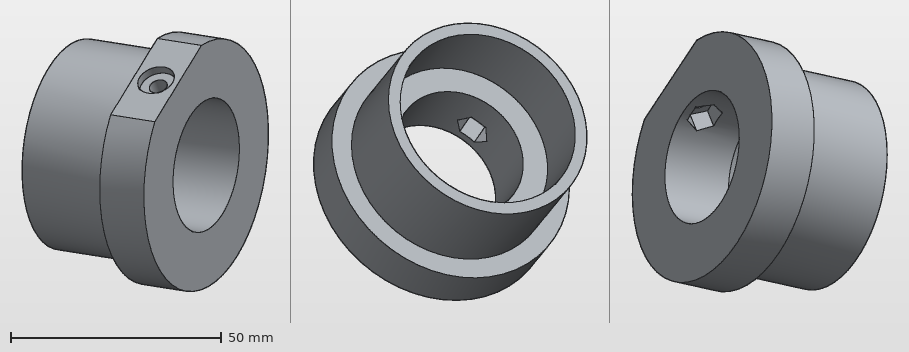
import cadquery as cq
import math

flange_diameter = 60.75
flange_width = 12.0
sleeve_diameter = 50.8
sleeve_length = 24.0
total_length = sleeve_length + flange_width

socket_diameter = 44.8
socket_depth = 18.0
bore_diameter = 32.3

flat_distance = 27.4
flat_tilt = 30.0
screw_diameter = 4.4
head_diameter = 9.0
head_depth = 2.1

nut_across_flats = 7.5
nut_seat_distance = 21.4

screw_x = sleeve_length + flange_width / 2


def cylinder_along_x(diameter, start, length):
    return cq.Workplane("YZ").workplane(offset=start).circle(diameter / 2).extrude(length)


def tilt(shape):
    """Turn a shape built about +Z to face the flat's direction."""
    return shape.rotate((0, 0, 0), (1, 0, 0), flat_tilt)


def screw_plane(height):
    """Upright sketch plane on the screw axis, at mid-width of the flange."""
    return cq.Workplane("XY", origin=(screw_x, 0, height))


def radial_cylinder(diameter, bottom, top):
    return tilt(screw_plane(bottom).circle(diameter / 2).extrude(top - bottom))


def nut_pocket():
    """Hexagonal prism with two flats square to the X axis."""
    across_corners = nut_across_flats / math.cos(math.pi / 6)
    corner_turn = 90
    prism = screw_plane(0).polygon(6, across_corners).extrude(nut_seat_distance)
    return tilt(prism.rotate((screw_x, 0, 0), (screw_x, 0, 1), corner_turn))


flange = cylinder_along_x(flange_diameter, sleeve_length, flange_width)
sleeve = cylinder_along_x(sleeve_diameter, 0, sleeve_length)
body = flange.union(sleeve)

rim_radius = flange_diameter / 2
flat_cutter = cq.Workplane("XY", origin=(sleeve_length, 0, flat_distance)).box(
    flange_width,
    flange_diameter,
    rim_radius - flat_distance,
    centered=(False, True, False),
)
body = body.cut(tilt(flat_cutter))

body = body.cut(cylinder_along_x(bore_diameter, 0, total_length))
body = body.cut(cylinder_along_x(socket_diameter, 0, socket_depth))

body = body.cut(radial_cylinder(screw_diameter, 0, rim_radius))
body = body.cut(radial_cylinder(head_diameter, flat_distance - head_depth, rim_radius))
body = body.cut(nut_pocket())

result = body